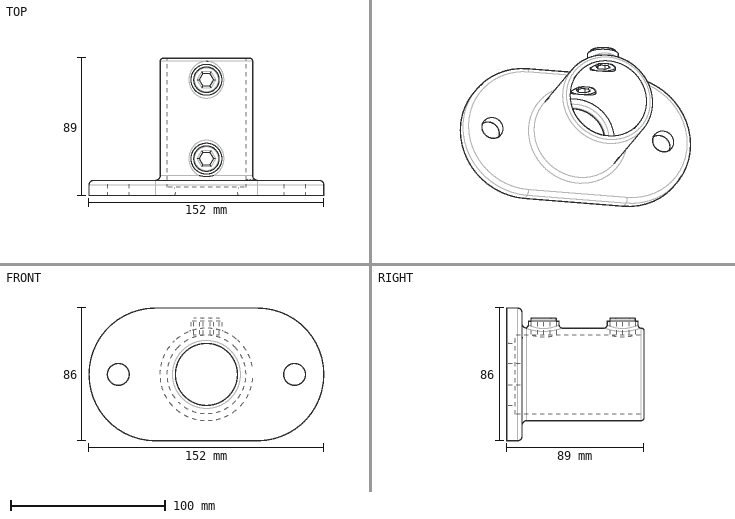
import cadquery as cq
import math

plate_length = 152.0
plate_height = 86.0
plate_thickness = 10.0
plate_edge_radius = 3.0
bolt_hole_spacing = 114.0
bolt_hole_diameter = 14.0

tube_end = 89.0
tube_radius = 30.0
tube_end_radius = 2.0
tube_root_radius = 3.0

bore_radius = 25.5
mouth_radius = 20.0
mouth_depth = 5.5
mouth_round = 2.0

screw_positions = [24.0, 75.0]
boss_radius = 10.0
boss_top = 34.5
boss_root_radius = 2.0

margin = 0.1
tangent_join_tolerance = 0.001

screw_radius = 8.25
screw_top = 36.5
screw_tip = bore_radius
screw_edge_radius = 0.5
hex_across_flats = 8.0
hex_rim_radius = 1.25


def upright_cylinder(y, radius, bottom, top):
    """Cylinder with its axis along Z, standing above the tube axis."""
    return cq.Workplane("XY", origin=(0, y, bottom)).circle(radius).extrude(top - bottom)


def along_tube(start):
    """Sketch plane across the tube axis; negative extrusions run toward +Y."""
    return cq.Workplane("XZ", origin=(0, start, 0))


def edges_within(low, high):
    """Selector for the edges lying inside a box."""
    return cq.selectors.BoxSelector(low, high, boundingbox=True)


def make_plate():
    plate = along_tube(0).slot2D(plate_length, plate_height).extrude(-plate_thickness)
    return plate.faces(">Y").edges().fillet(plate_edge_radius)


def make_tube_root():
    """Ring that blends the tube into the plate with a concave quarter round."""
    blend_end = plate_thickness + tube_root_radius
    half_section = (
        cq.Workplane("XY")
        .moveTo(0, 0)
        .lineTo(tube_radius + tube_root_radius, 0)
        .lineTo(tube_radius + tube_root_radius, plate_thickness)
        .radiusArc((tube_radius, blend_end), tube_root_radius)
        .lineTo(0, blend_end)
        .close()
    )
    return half_section.revolve(360, (0, 0, 0), (0, 1, 0))


def make_tube():
    """Tube with both screw bosses and their rounded roots."""
    tube = along_tube(0).circle(tube_radius).extrude(-tube_end)
    tube = tube.faces(">Y").edges().fillet(tube_end_radius)
    for y in screw_positions:
        tube = tube.union(upright_cylinder(y, boss_radius, bore_radius, boss_top))
        reach = boss_radius + margin
        boss_root = edges_within(
            (-reach, y - reach, bore_radius),
            (reach, y + reach, boss_top - margin),
        )
        tube = tube.edges(boss_root).fillet(boss_root_radius)
    return tube


def cut_bolt_holes(body):
    half_spacing = bolt_hole_spacing / 2
    holes = (
        along_tube(0)
        .pushPoints([(-half_spacing, 0), (half_spacing, 0)])
        .circle(bolt_hole_diameter / 2)
        .extrude(-plate_thickness)
    )
    return body.cut(holes)


def make_bore():
    """Revolved shape of the bore, with the mouth rounded at both of its ends."""
    half_section = (
        cq.Workplane("XY")
        .moveTo(0, 0)
        .lineTo(mouth_radius + mouth_round, 0)
        .radiusArc((mouth_radius, mouth_round), mouth_round)
        .lineTo(mouth_radius, mouth_depth - mouth_round)
        .radiusArc((mouth_radius + mouth_round, mouth_depth), mouth_round)
        .lineTo(bore_radius, mouth_depth)
        .lineTo(bore_radius, tube_end)
        .lineTo(0, tube_end)
        .close()
    )
    return half_section.revolve(360, (0, 0, 0), (0, 1, 0))


def make_fitting():
    base = make_tube_root().union(make_plate())
    body = make_tube().union(base, tol=tangent_join_tolerance)
    body = cut_bolt_holes(body).cut(make_bore())
    for y in screw_positions:
        body = body.cut(upright_cylinder(y, screw_radius, 0, boss_top))
    return body


def make_set_screw(y):
    """Screw with a hexagon socket right through it, two of its flats facing along Y."""
    screw = upright_cylinder(y, screw_radius, screw_tip, screw_top)
    screw = screw.faces(">Z").edges().fillet(screw_edge_radius)
    socket = (
        cq.Workplane("XY", origin=(0, y, screw_tip))
        .polygon(6, hex_across_flats / math.cos(math.pi / 6))
        .extrude(screw_top - screw_tip)
    )
    screw = screw.cut(socket)
    socket_rim = screw.faces(">Z").edges("%LINE")
    return socket_rim.fillet(hex_rim_radius)


fitting = make_fitting()
set_screws = [make_set_screw(y) for y in screw_positions]

result = cq.Compound.makeCompound([fitting.val()] + [screw.val() for screw in set_screws])